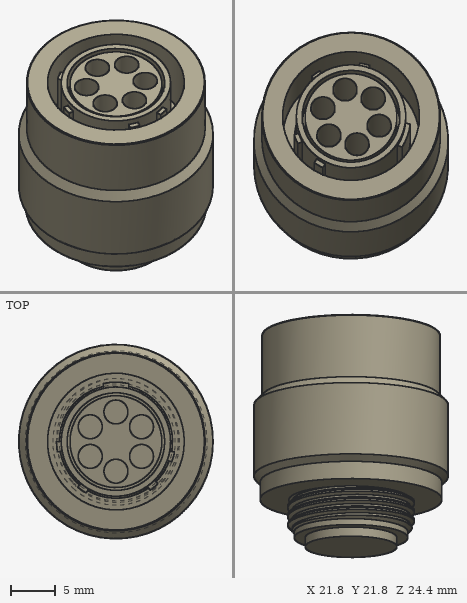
import cadquery as cq

total_height = 24.4
plug_radius = 5.15
plug_tail_length = 1.05
collar_radius = 6.37
collar_top = 1.73
flange_radius = 10.2
flange_bottom = 5.45
flange_top = 7.42
body_diameter = 21.8
body_top = 16.33
neck_radius = 10.0
neck_edge_chamfer = 0.1
body_radius = body_diameter / 2
body_bottom = flange_top + body_radius - flange_radius
neck_bottom = body_top + body_radius - neck_radius

thread_root_radius = 6.62
thread_crest_radius = 7.1
thread_pitch = 1.05
thread_crest_width = 0.22
thread_root_width = 0.27
thread_start = 1.07
thread_turns = 5
thread_overlap = 0.12

socket_radius = 7.66
socket_depth = 7.32
tube_radius = 6.13
tube_recess = 0.07
tube_foot_radius = 6.35
tube_flare_height = 0.1
socket_floor = total_height - socket_depth
tube_top = total_height - tube_recess

gap_radius = 5.47
gap_depth = 2.45
plug_recess = 0.22
contact_count = 6
contact_radius = 1.35
contact_circle_radius = 3.32
contact_depth = 7.32
plug_top = tube_top - plug_recess

key_outer_radius = 6.66
key_top = total_height - 0.8
main_key_width = 2.85
small_key_width = 1.12
main_key_angle = 90
small_key_angles = (185, 235, 310, 345)


def cylinder(radius, bottom, top):
    return cq.Workplane("XY").workplane(offset=bottom).circle(radius).extrude(top - bottom)


def revolved(points):
    """Revolve a closed (radius, height) outline about the Z axis."""
    return cq.Workplane("XZ").polyline(points).close().revolve(360, (0, 0, 0), (0, 1, 0))


def make_shell():
    return revolved([
        (0, 0),
        (plug_radius, 0),
        (plug_radius, plug_tail_length),
        (collar_radius, plug_tail_length),
        (collar_radius, collar_top),
        (thread_root_radius, collar_top + thread_root_radius - collar_radius),
        (thread_root_radius, flange_bottom),
        (flange_radius, flange_bottom),
        (flange_radius, flange_top),
        (body_radius, body_bottom),
        (body_radius, body_top),
        (neck_radius, neck_bottom),
        (neck_radius, total_height - neck_edge_chamfer),
        (neck_radius - neck_edge_chamfer, total_height),
        (0, total_height),
    ])


def make_thread():
    """Helical ridge, trimmed to a 45 degree lead-in at the bottom and to the flange at the top."""
    flank_slope = (thread_pitch - thread_crest_width - thread_root_width) / 2
    flank_slope /= thread_crest_radius - thread_root_radius
    base_radius = thread_root_radius - thread_overlap
    half_crest = thread_crest_width / 2
    half_base = half_crest + flank_slope * (thread_crest_radius - base_radius)
    path = cq.Wire.makeHelix(thread_pitch, thread_pitch * thread_turns, thread_root_radius)
    ridge = (
        cq.Workplane("XZ")
        .polyline([
            (base_radius, -half_base),
            (thread_crest_radius, -half_crest),
            (thread_crest_radius, half_crest),
            (base_radius, half_base),
        ])
        .close()
        .sweep(cq.Workplane(path), isFrenet=True)
        .translate((0, 0, thread_start))
    )
    envelope_radius = thread_crest_radius + thread_overlap
    envelope = revolved([
        (0, collar_top),
        (collar_radius, collar_top),
        (envelope_radius, collar_top + envelope_radius - collar_radius),
        (envelope_radius, flange_bottom + thread_overlap),
        (0, flange_bottom + thread_overlap),
    ])
    return ridge.intersect(envelope)


def make_socket():
    flare_top = socket_floor + tube_flare_height
    return revolved([
        (tube_foot_radius, socket_floor),
        (socket_radius, socket_floor),
        (socket_radius, total_height),
        (0, total_height),
        (0, tube_top),
        (tube_radius, tube_top),
        (tube_radius, flare_top),
    ])


def make_key(width, angle):
    key_disc = cylinder(key_outer_radius, socket_floor, key_top)
    bar = (
        cq.Workplane("XY")
        .workplane(offset=socket_floor)
        .center(key_outer_radius, 0)
        .rect(2 * (key_outer_radius - gap_radius), width)
        .extrude(key_top - socket_floor)
        .rotate((0, 0, 0), (0, 0, 1), angle)
    )
    return key_disc.intersect(bar)


def make_gap():
    """Ring-shaped gap around the insulator, open above its recessed face."""
    gap_floor = tube_top - gap_depth
    plug_head = cylinder(plug_radius, gap_floor, plug_top)
    return cylinder(gap_radius, gap_floor, tube_top).cut(plug_head)


def make_contact_holes():
    return (
        cq.Workplane("XY")
        .workplane(offset=plug_top - contact_depth)
        .polarArray(contact_circle_radius, 90, 360, contact_count)
        .circle(contact_radius)
        .extrude(contact_depth)
    )


result = make_shell().union(make_thread())
result = result.cut(make_socket())
result = result.union(make_key(main_key_width, main_key_angle))
for small_key_angle in small_key_angles:
    result = result.union(make_key(small_key_width, small_key_angle))

result = result.cut(make_gap())
result = result.cut(make_contact_holes())